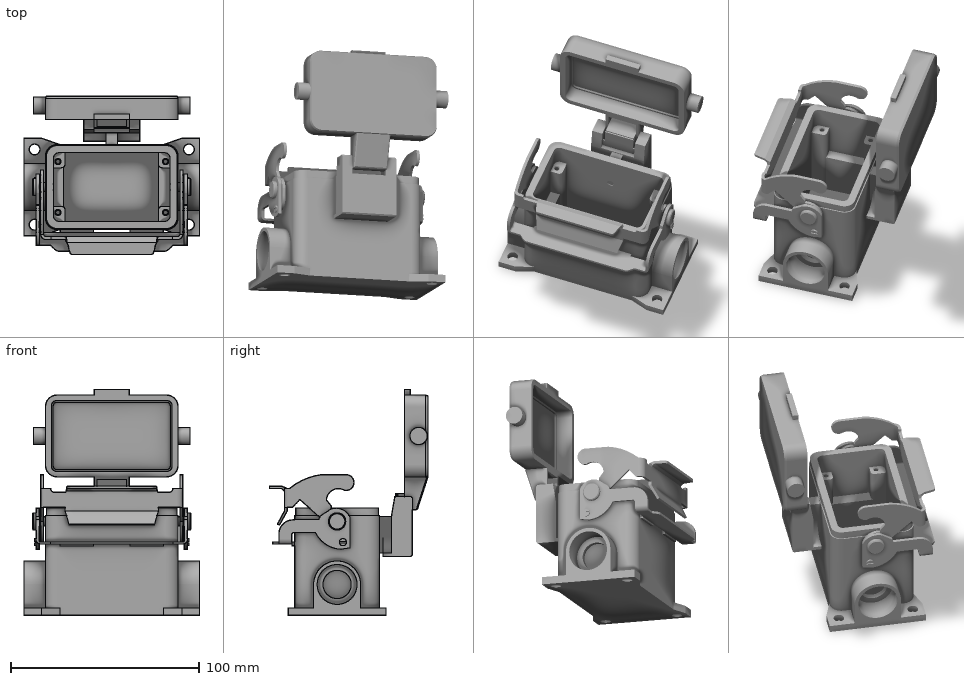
import cadquery as cq
import math


def box(x_range, y_range, z_range):
    """Axis-aligned block given by its limits along X, Y and Z."""
    size = [high - low for low, high in (x_range, y_range, z_range)]
    corner = (x_range[0], y_range[0], z_range[0])
    return cq.Workplane("XY").box(*size, centered=False).translate(corner)


def x_cylinder(diameter, y, z, x_start, x_end):
    """Cylinder along X between two X positions."""
    plane = cq.Workplane("YZ", origin=(x_start, y, z))
    return plane.circle(diameter / 2).extrude(x_end - x_start)


def y_cylinder(diameter, x, z, y_start, y_end):
    """Cylinder along Y between two Y positions."""
    plane = cq.Workplane("XZ", origin=(x, y_start, z))
    return plane.circle(diameter / 2).extrude(y_start - y_end)


def both_sides(shape):
    """The shape together with its mirror image across the X = 0 plane."""
    return shape.union(shape.mirror("YZ"))


BASE_LENGTH = 93.5
BASE_WIDTH = 52.0
BASE_THICKNESS = 4.0
WAIST_START_X = 37.3
WAIST_END_X = 27.6
HOLE_SPACING_X = 82.0
HOLE_SPACING_Y = 40.0
HOLE_DIAMETER = 5.6

BODY_LENGTH = 70.5
BODY_WIDTH = 45.2
BODY_CORNER = 6.2
BODY_HEIGHT = 53.0
RIM_INSET = 0.55
HOUSING_HEIGHT = 57.1
CAVITY_LENGTH = 62.0
CAVITY_WIDTH = 36.5
CAVITY_CORNER = 3.0
FLOOR_Z = 4.0

POST_LENGTH = 6.2
POST_WIDTH = 8.0
POST_TOP_Z = 45.3
POST_CORNER = 1.9
SCREW_X = 28.6
SCREW_Y = 13.5
SCREW_DIAMETER = 2.4
SCREW_MOUTH_DIAMETER = 3.3
SCREW_DEPTH = 12.0
NEAR_LEDGE_LENGTH = 5.3
FAR_LEDGE_LENGTH = POST_LENGTH
LEDGE_TOP_Z = 28.0

ENTRY_Z = 16.4
ENTRY_RADIUS = 12.5
ENTRY_BORE = 21.2
ENTRY_BORE_DEPTH = 13.0
KNOCKOUT_BORE = 15.0
KNOCKOUT_DEPTH = 3.0

LUG_INNER_X = 9.6
LUG_OUTER_X = 27.4
LUG_REACH = 1.5
LUG_BOTTOM_Z = 36.9
LUG_TOP_Z = 39.0

RIB_WIDTH = 6.2
RIB_BOTTOM_Z = 33.1
RIB_TOP_Z = 52.6
RIB_HOLE_DIAMETER = 3.6
RIB_HOLE_Z = 39.7
RIB_HOLE_DEPTH = 0.3
BRACKET_HALF_LENGTH = 15.0
BRACKET_BACK_Y = 40.0
BRACKET_FRONT_Y = 28.8
BRACKET_TOP_FRONT_Y = 30.6
BRACKET_BOTTOM_Z = 31.2
BRACKET_TOP_Z = 63.1
BRACKET_CORNER = 0.8
ARM_HALF_LENGTH = 9.3
FOOT_FRONT_Y = 24.3
FOOT_FILLET = 8.0
SLOT_FLOOR_Z = 53.1

COVER_BACK_Y = 48.3
COVER_FRONT_Y = 35.8
COVER_LENGTH = BODY_LENGTH
COVER_BOTTOM_Z = 73.5
COVER_TOP_Z = 117.1
COVER_CORNER = 6.2
COVER_BACK_CHAMFER_DEPTH = 1.3
COVER_BACK_CHAMFER_INSET = 0.5
COVER_POCKET_LENGTH = 64.2
COVER_POCKET_HEIGHT = 37.8
COVER_STEP = 1.0
COVER_POCKET_DEPTH = 8.5
COVER_POCKET_CORNER = 3.0
OVERALL_HEIGHT = 120.0
COVER_TAB_DEPTH = 3.1
STUD_DIAMETER = 9.2
STUD_SPAN = 83.2
STUD_Y = 43.3

ARM_HEEL_Y = 42.6
ARM_BOTTOM_Z = 56.0
ARM_WALL = 1.4
ARM_CHAMFER = 0.6
LEAF_HALF_LENGTH = 9.0
SHELF_HALF_LENGTH = 7.9
LEAF_FRONT_Y = 31.0
LIP_THICKNESS = 0.6
LEAF_SHOULDER_Z = 57.5
LIP_GROOVE_WIDTH = 0.5
LIP_GROOVE_DEPTH = 1.5
SHELF_Z = 64.8

PIVOT_Z = 49.9
HOOK_OUTER_X = 37.8
HOOK_SHEET = 1.6
HOOK_BAND_Y = -28.0
HOOK_BEND = 3.1
HANDLE_OUTER_X = 40.2
HANDLE_SHEET = 1.7
HANDLE_BAR_SHEET = 1.2
HANDLE_BAR_Z = 37.8
HANDLE_BEND = 2.6
SHAFT_DIAMETER = 5.0
PIVOT_PIN_DIAMETER = 3.0
RIVET_HEAD_DIAMETER = 9.2
RIVET_HEAD_X = 42.1

half_length = BODY_LENGTH / 2
half_width = BODY_WIDTH / 2


def base_plate():
    end_x = BASE_LENGTH / 2
    end_y = BASE_WIDTH / 2
    quarter = [
        (0, 0),
        (end_x, 0),
        (end_x, end_y),
        (WAIST_START_X, end_y),
        (WAIST_END_X, half_width),
        (0, half_width),
    ]
    plate = cq.Workplane("XY").polyline(quarter).close().extrude(BASE_THICKNESS)
    plate = both_sides(plate)
    plate = plate.union(plate.mirror("XZ"))
    holes = (
        cq.Workplane("XY")
        .rect(HOLE_SPACING_X, HOLE_SPACING_Y, forConstruction=True)
        .vertices()
        .circle(HOLE_DIAMETER / 2)
        .extrude(BASE_THICKNESS)
    )
    return plate.cut(holes)


def rounded_block(length, width, corner, z_low, z_high):
    block = cq.Workplane("XY", origin=(0, 0, z_low)).rect(length, width).extrude(z_high - z_low)
    return block.edges("|Z").fillet(corner)


def housing_walls():
    lower = rounded_block(BODY_LENGTH, BODY_WIDTH, BODY_CORNER, 0, BODY_HEIGHT)
    rim = rounded_block(
        BODY_LENGTH - 2 * RIM_INSET,
        BODY_WIDTH - 2 * RIM_INSET,
        BODY_CORNER - RIM_INSET,
        BODY_HEIGHT,
        HOUSING_HEIGHT,
    )
    return lower.union(rim)


def entry_boss():
    """Round-topped cable-entry boss that runs through both ends of the housing."""
    return (
        cq.Workplane("YZ", origin=(-BASE_LENGTH / 2, 0, 0))
        .moveTo(-ENTRY_RADIUS, 0)
        .lineTo(-ENTRY_RADIUS, ENTRY_Z)
        .threePointArc((0, ENTRY_Z + ENTRY_RADIUS), (ENTRY_RADIUS, ENTRY_Z))
        .lineTo(ENTRY_RADIUS, 0)
        .close()
        .extrude(BASE_LENGTH)
    )


def entry_bores():
    mouth_x = -BASE_LENGTH / 2
    seat_x = mouth_x + ENTRY_BORE_DEPTH
    bore = x_cylinder(ENTRY_BORE, 0, ENTRY_Z, mouth_x, seat_x)
    knockout = x_cylinder(KNOCKOUT_BORE, 0, ENTRY_Z, seat_x, seat_x + KNOCKOUT_DEPTH)
    return both_sides(bore.union(knockout))


def cavity():
    """Inside space of the housing, left solid at the end ledges and corner posts."""
    end_x = CAVITY_LENGTH / 2
    side_y = CAVITY_WIDTH / 2
    space = rounded_block(CAVITY_LENGTH, CAVITY_WIDTH, CAVITY_CORNER, FLOOR_Z, HOUSING_HEIGHT)
    ledge_z = (FLOOR_Z, LEDGE_TOP_Z)
    near_ledge = box((-end_x, NEAR_LEDGE_LENGTH - end_x), (-side_y, side_y), ledge_z)
    far_ledge = box((end_x - FAR_LEDGE_LENGTH, end_x), (-side_y, side_y), ledge_z)
    space = space.cut(near_ledge).cut(far_ledge)
    post = box((end_x - POST_LENGTH, end_x), (side_y - POST_WIDTH, side_y), (FLOOR_Z, POST_TOP_Z))
    post = post.edges("|Z and <X and <Y").fillet(POST_CORNER)
    posts = both_sides(post)
    return space.cut(posts.union(posts.mirror("XZ")))


def screw_holes():
    mouth_depth = (SCREW_MOUTH_DIAMETER - SCREW_DIAMETER) / 2
    mouth_z = POST_TOP_Z - mouth_depth
    outline = [
        (0, POST_TOP_Z),
        (SCREW_MOUTH_DIAMETER / 2, POST_TOP_Z),
        (SCREW_DIAMETER / 2, mouth_z),
        (SCREW_DIAMETER / 2, POST_TOP_Z - SCREW_DEPTH),
        (0, POST_TOP_Z - SCREW_DEPTH),
    ]
    hole = cq.Workplane("XZ").polyline(outline).close().revolve(360, (0, 0), (0, 1))
    holes = both_sides(hole.translate((SCREW_X, SCREW_Y, 0)))
    return holes.union(holes.mirror("XZ"))


def detent_lugs():
    lug = box(
        (LUG_INNER_X, LUG_OUTER_X),
        (-half_width - LUG_REACH, -half_width),
        (LUG_BOTTOM_Z, LUG_TOP_Z),
    )
    return both_sides(lug)


def hinge_bracket():
    """Block with two cheeks for the cover arm, carried on a rib behind the housing."""
    profile = [
        (BRACKET_BACK_Y, BRACKET_BOTTOM_Z),
        (BRACKET_BACK_Y, BRACKET_TOP_Z),
        (BRACKET_TOP_FRONT_Y, BRACKET_TOP_Z),
        (BRACKET_FRONT_Y, RIB_TOP_Z),
        (BRACKET_FRONT_Y, BRACKET_BOTTOM_Z),
    ]
    block = cq.Workplane("YZ").polyline(profile).close().extrude(BRACKET_HALF_LENGTH, both=True)
    block = block.edges("|X and >Y").chamfer(BRACKET_CORNER)
    slot = box(
        (-ARM_HALF_LENGTH, ARM_HALF_LENGTH),
        (BRACKET_FRONT_Y, BRACKET_BACK_Y),
        (SLOT_FLOOR_Z, BRACKET_TOP_Z),
    )
    fillet_x = RIB_WIDTH / 2 + FOOT_FILLET
    fillet_z = RIB_BOTTOM_Z + FOOT_FILLET
    diagonal = FOOT_FILLET * math.cos(math.pi / 4)
    foot = (
        cq.Workplane("XZ", origin=(0, FOOT_FRONT_Y, 0))
        .moveTo(0, BRACKET_BOTTOM_Z)
        .lineTo(BRACKET_HALF_LENGTH, BRACKET_BOTTOM_Z)
        .lineTo(BRACKET_HALF_LENGTH, RIB_BOTTOM_Z)
        .lineTo(fillet_x, RIB_BOTTOM_Z)
        .threePointArc((fillet_x - diagonal, fillet_z - diagonal), (RIB_WIDTH / 2, fillet_z))
        .lineTo(0, fillet_z)
        .close()
        .extrude(FOOT_FRONT_Y - BRACKET_FRONT_Y)
    )
    rib = box(
        (-RIB_WIDTH / 2, RIB_WIDTH / 2),
        (CAVITY_WIDTH / 2, BRACKET_FRONT_Y),
        (RIB_BOTTOM_Z, RIB_TOP_Z),
    )
    return block.cut(slot).union(both_sides(foot)).union(rib)


def make_housing():
    body = base_plate().union(housing_walls()).union(entry_boss())
    body = body.union(hinge_bracket()).union(detent_lugs())
    body = body.cut(cavity()).cut(entry_bores()).cut(screw_holes())
    rib_hole_start = CAVITY_WIDTH / 2
    rib_hole = y_cylinder(RIB_HOLE_DIAMETER, 0, RIB_HOLE_Z, rib_hole_start, rib_hole_start + RIB_HOLE_DEPTH)
    pivot_hole = x_cylinder(PIVOT_PIN_DIAMETER, 0, PIVOT_Z, CAVITY_LENGTH / 2, half_length)
    return body.cut(rib_hole).cut(both_sides(pivot_hole))


def cover_block(length, height, corner, y_low, y_high):
    middle_z = (COVER_BOTTOM_Z + COVER_TOP_Z) / 2
    plane = cq.Workplane("XZ", origin=(0, y_high, middle_z))
    return plane.rect(length, height).extrude(y_high - y_low).edges("|Y").fillet(corner)


def cover_arm():
    """Hinge arm: a channel open to the front that ends as a leaf between the bracket cheeks."""
    slope = (COVER_BACK_Y - ARM_HEEL_Y) / (COVER_BOTTOM_Z - ARM_BOTTOM_Z)

    def back_y(z):
        return ARM_HEEL_Y + slope * (z - ARM_BOTTOM_Z)

    side = [
        (COVER_FRONT_Y, COVER_BOTTOM_Z),
        (COVER_BACK_Y, COVER_BOTTOM_Z),
        (ARM_HEEL_Y, ARM_BOTTOM_Z),
        (COVER_FRONT_Y, ARM_BOTTOM_Z),
    ]
    arm = cq.Workplane("YZ").polyline(side).close().extrude(ARM_HALF_LENGTH, both=True)
    arm = arm.faces(">Y").edges("not >Z").chamfer(ARM_CHAMFER)
    channel_top = COVER_BOTTOM_Z - ARM_WALL
    channel = [
        (COVER_FRONT_Y, channel_top),
        (back_y(channel_top) - ARM_WALL, channel_top),
        (back_y(SHELF_Z) - ARM_WALL, SHELF_Z),
        (COVER_FRONT_Y, SHELF_Z),
    ]
    arm = arm.cut(cq.Workplane("YZ").polyline(channel).close().extrude(ARM_HALF_LENGTH - ARM_WALL, both=True))
    lip_back_y = LEAF_FRONT_Y + LIP_THICKNESS
    leaf = box((-LEAF_HALF_LENGTH, LEAF_HALF_LENGTH), (LEAF_FRONT_Y, lip_back_y), (SLOT_FLOOR_Z, SHELF_Z))
    shelf = box((-SHELF_HALF_LENGTH, SHELF_HALF_LENGTH), (lip_back_y, COVER_FRONT_Y), (SLOT_FLOOR_Z, SHELF_Z))
    groove = box(
        (-SHELF_HALF_LENGTH, SHELF_HALF_LENGTH),
        (lip_back_y, lip_back_y + LIP_GROOVE_WIDTH),
        (SHELF_Z - LIP_GROOVE_DEPTH, SHELF_Z),
    )
    shoulder = box(
        (SHELF_HALF_LENGTH, LEAF_HALF_LENGTH), (LEAF_FRONT_Y, lip_back_y), (LEAF_SHOULDER_Z, SHELF_Z)
    )
    leaf = leaf.cut(both_sides(shoulder))
    return arm.union(shelf.cut(groove)).union(leaf)


def make_cover():
    height = COVER_TOP_Z - COVER_BOTTOM_Z
    cover = cover_block(COVER_LENGTH, height, COVER_CORNER, COVER_FRONT_Y, COVER_BACK_Y)
    cover = cover.faces(">Y").chamfer(COVER_BACK_CHAMFER_DEPTH, COVER_BACK_CHAMFER_INSET)
    tab = box(
        (-ARM_HALF_LENGTH, ARM_HALF_LENGTH),
        (COVER_FRONT_Y, COVER_FRONT_Y + COVER_TAB_DEPTH),
        (COVER_TOP_Z, OVERALL_HEIGHT),
    )
    stud_z = (COVER_BOTTOM_Z + COVER_TOP_Z) / 2
    studs = x_cylinder(STUD_DIAMETER, STUD_Y, stud_z, -STUD_SPAN / 2, STUD_SPAN / 2)
    cover = cover.union(tab).union(studs).union(cover_arm())

    pocket_end = COVER_FRONT_Y + COVER_POCKET_DEPTH
    pocket = cover_block(
        COVER_POCKET_LENGTH, COVER_POCKET_HEIGHT, COVER_POCKET_CORNER, COVER_FRONT_Y, pocket_end
    )
    recess = cover_block(
        COVER_POCKET_LENGTH - 2 * COVER_STEP,
        COVER_POCKET_HEIGHT - 2 * COVER_STEP,
        COVER_POCKET_CORNER - COVER_STEP,
        pocket_end,
        pocket_end + COVER_STEP,
    )
    return cover.cut(pocket).cut(recess)


HOOK_TIP_Y = 4.8
HOOK_TIP_Z = 70.6
HOOK_TIP_RADIUS = 4.2
BAND_BOTTOM_Z = 57.3
BAND_TOP_Z = 67.4
EYE_RADIUS = 6.4
EYE_BOTTOM_Z = 39.0
HOOK_SIDE_REACH = 15.0
NOTCH_BOTTOM_Z = 65.5
NOTCH_INNER_X = 24.4
NOTCH_OUTER_X = 32.3
NOTCH_CORNER = 1.5
TAB_ROOT_X = 24.0
TAB_END_X = 22.0
TAB_ROOT_Z = 66.0
TAB_BEND_Y = -29.5
TAB_END_Y = -35.93
TAB_TOP_Z = 68.7
TAB_SHEET = 1.4
TAB_CORNER = 1.6
FLAP_ROOT_X = 24.8
FLAP_END_X = 22.6
FLAP_BEND_Z = 55.5
FLAP_END_Y = -31.8
FLAP_END_Z = 47.9
FLAP_TIP_RISE = 0.5
FLAP_TIP_RUN = 1.2


def hook_side():
    """Side shape of the hook lever in Y and Z: hook, eye around the pivot, and front band."""
    tip_top_z = HOOK_TIP_Z + HOOK_TIP_RADIUS
    return (
        cq.Workplane("YZ")
        .moveTo(HOOK_TIP_Y, tip_top_z)
        .lineTo(-8.3, tip_top_z)
        .threePointArc((-16.9, 72.5), (-25.3, BAND_TOP_Z))
        .lineTo(HOOK_BAND_Y, BAND_TOP_Z)
        .lineTo(HOOK_BAND_Y, BAND_BOTTOM_Z)
        .lineTo(-23.7, BAND_BOTTOM_Z)
        .lineTo(-19.8, 61.5)
        .lineTo(-9.3, 52.1)
        .lineTo(-EYE_RADIUS, PIVOT_Z)
        .lineTo(-EYE_RADIUS, EYE_BOTTOM_Z + EYE_RADIUS)
        .threePointArc((0, EYE_BOTTOM_Z), (EYE_RADIUS, EYE_BOTTOM_Z + EYE_RADIUS))
        .lineTo(EYE_RADIUS, PIVOT_Z)
        .threePointArc((2.5, 55.6), (-3.0, 56.6))
        .lineTo(-3.0, 58.0)
        .lineTo(-5.6, 61.3)
        .threePointArc((-2.7, 66.3), (HOOK_TIP_Y - 1.0, HOOK_TIP_Z - HOOK_TIP_RADIUS))
        .threePointArc((HOOK_TIP_Y + HOOK_TIP_RADIUS, HOOK_TIP_Z), (HOOK_TIP_Y, tip_top_z))
        .close()
        .extrude(HOOK_OUTER_X, both=True)
    )


def bent_strip(plane, outer_x, outer_web, far_end, side_sheet, web_sheet, bend, length):
    """U-shaped strip: a web at outer_web joined by round bends to two sides reaching far_end."""

    def u_outline(half, web, radius):
        diagonal = radius * (1 - math.cos(math.pi / 4))
        return (
            plane.moveTo(-half, far_end)
            .lineTo(-half, web + radius)
            .threePointArc((-half + diagonal, web + diagonal), (-half + radius, web))
            .lineTo(half - radius, web)
            .threePointArc((half - diagonal, web + diagonal), (half, web + radius))
            .lineTo(half, far_end)
            .close()
            .extrude(length)
        )

    outer = u_outline(outer_x, outer_web, bend)
    inner = u_outline(outer_x - side_sheet, outer_web + web_sheet, bend - side_sheet)
    return outer.cut(inner)


def make_hook_lever():
    strip = bent_strip(
        cq.Workplane("XY"),
        outer_x=HOOK_OUTER_X,
        outer_web=HOOK_BAND_Y,
        far_end=HOOK_SIDE_REACH,
        side_sheet=HOOK_SHEET,
        web_sheet=HOOK_SHEET,
        bend=HOOK_BEND,
        length=OVERALL_HEIGHT,
    )
    lever = strip.intersect(hook_side())
    band_y = (HOOK_BAND_Y, HOOK_BAND_Y + HOOK_SHEET)
    step = (
        cq.Workplane("XZ", origin=(0, HOOK_BAND_Y, 0))
        .moveTo(TAB_ROOT_X, BAND_TOP_Z)
        .lineTo(NOTCH_INNER_X, NOTCH_BOTTOM_Z)
        .lineTo(NOTCH_OUTER_X - NOTCH_CORNER, NOTCH_BOTTOM_Z)
        .radiusArc((NOTCH_OUTER_X, NOTCH_BOTTOM_Z + NOTCH_CORNER), -NOTCH_CORNER)
        .lineTo(NOTCH_OUTER_X, BAND_TOP_Z)
        .close()
        .extrude(-HOOK_SHEET)
    )
    lever = lever.cut(both_sides(step))

    tab_profile = [
        (band_y[1], TAB_ROOT_Z),
        (band_y[1], BAND_TOP_Z),
        (TAB_BEND_Y, TAB_TOP_Z),
        (TAB_END_Y, TAB_TOP_Z),
        (TAB_END_Y, TAB_TOP_Z - TAB_SHEET),
        (TAB_BEND_Y, TAB_TOP_Z - TAB_SHEET),
        (HOOK_BAND_Y, TAB_ROOT_Z),
    ]
    tab_plan = [
        (-TAB_ROOT_X, band_y[1]),
        (-TAB_ROOT_X, HOOK_BAND_Y),
        (-TAB_END_X, TAB_END_Y),
        (TAB_END_X, TAB_END_Y),
        (TAB_ROOT_X, HOOK_BAND_Y),
        (TAB_ROOT_X, band_y[1]),
    ]
    tab_strip = cq.Workplane("YZ").polyline(tab_profile).close().extrude(TAB_ROOT_X, both=True)
    tab_blank = cq.Workplane("XY").polyline(tab_plan).close().extrude(OVERALL_HEIGHT)
    tab = tab_strip.intersect(tab_blank.edges("|Z and <Y").fillet(TAB_CORNER))

    flap_profile = [
        (band_y[1], BAND_BOTTOM_Z),
        (HOOK_BAND_Y, BAND_BOTTOM_Z),
        (HOOK_BAND_Y, FLAP_BEND_Z),
        (FLAP_END_Y, FLAP_END_Z + FLAP_TIP_RISE),
        (FLAP_END_Y + FLAP_TIP_RUN, FLAP_END_Z),
        (band_y[1], FLAP_BEND_Z),
    ]
    flap_face = [
        (-FLAP_ROOT_X, BAND_BOTTOM_Z),
        (-FLAP_ROOT_X, FLAP_BEND_Z),
        (-FLAP_END_X, FLAP_END_Z),
        (FLAP_END_X, FLAP_END_Z),
        (FLAP_ROOT_X, FLAP_BEND_Z),
        (FLAP_ROOT_X, BAND_BOTTOM_Z),
    ]
    flap_strip = cq.Workplane("YZ").polyline(flap_profile).close().extrude(FLAP_ROOT_X, both=True)
    flap_blank = cq.Workplane("XZ").polyline(flap_face).close().extrude(-FLAP_END_Y)
    flap = flap_strip.intersect(flap_blank)
    lever = lever.union(tab).union(flap)
    return lever.cut(x_cylinder(SHAFT_DIAMETER, 0, PIVOT_Z, -HOOK_OUTER_X, HOOK_OUTER_X))


EYE_PLATE_BACK_Y = 6.9
LEG_FRONT_Y = -31.0
LEG_BACK_Y = -24.1
LEG_SPLIT_Y = -20.0
ARM_UNDERSIDE_Z = 44.0
ARM_UPPER_Z = 50.8
LIP_FRONT_Y = -34.2
LIP_ROOT_Y = -29.0
LIP_OUTER_X = 32.6
LIP_INNER_X = 27.5
STOP_DIAMETER = 3.8
STOP_Y = 3.1
STOP_Z = 38.9
STOP_END_X = 41.1
STOP_SLOT_WIDTH = 0.8
STOP_SLOT_DEPTH = 0.5
RIVET_CHAMFER = 0.5


def handle_side():
    """Side shape of the handle lever in Y and Z: eye plate, arm and down-turned front leg."""
    return (
        cq.Workplane("YZ")
        .moveTo(EYE_PLATE_BACK_Y, 35.9)
        .lineTo(EYE_PLATE_BACK_Y, 52.0)
        .threePointArc((2.6, 56.3), (-3.4, 56.4))
        .lineTo(-9.2, 52.6)
        .lineTo(-9.7, ARM_UPPER_Z)
        .lineTo(-23.5, ARM_UPPER_Z)
        .threePointArc((-28.6, 48.7), (LEG_FRONT_Y, 43.5))
        .lineTo(LEG_FRONT_Y, HANDLE_BAR_Z)
        .lineTo(LEG_BACK_Y, HANDLE_BAR_Z)
        .lineTo(LEG_BACK_Y, 43.1)
        .lineTo(-23.3, ARM_UNDERSIDE_Z)
        .lineTo(-11.5, ARM_UNDERSIDE_Z)
        .threePointArc((-6.0, 37.7), (2.0, 35.1))
        .close()
        .extrude(HANDLE_OUTER_X, both=True)
    )


def make_handle_lever():
    side = handle_side()
    strip = bent_strip(
        cq.Workplane("XZ", origin=(0, LEG_SPLIT_Y, 0)),
        outer_x=HANDLE_OUTER_X,
        outer_web=HANDLE_BAR_Z,
        far_end=HOUSING_HEIGHT,
        side_sheet=HANDLE_SHEET,
        web_sheet=HANDLE_BAR_SHEET,
        bend=HANDLE_BEND,
        length=LEG_SPLIT_Y - LIP_FRONT_Y,
    )
    legs = strip.intersect(side)
    inner_x = HANDLE_OUTER_X - HANDLE_SHEET
    plate_region = box((inner_x, HANDLE_OUTER_X), (LEG_SPLIT_Y, EYE_PLATE_BACK_Y), (0, HOUSING_HEIGHT))
    lever = legs.union(both_sides(plate_region.intersect(side)))

    lip = (
        cq.Workplane("XY", origin=(0, 0, HANDLE_BAR_Z))
        .moveTo(0, LIP_ROOT_Y)
        .lineTo(LIP_OUTER_X, LIP_ROOT_Y)
        .lineTo(LIP_OUTER_X, LEG_FRONT_Y)
        .spline([(LIP_INNER_X, LIP_FRONT_Y)], tangents=[(-1, -0.6), (-1, 0)], includeCurrent=True)
        .lineTo(0, LIP_FRONT_Y)
        .close()
        .extrude(HANDLE_BAR_SHEET)
    )
    lever = lever.union(both_sides(lip))

    head = x_cylinder(RIVET_HEAD_DIAMETER, 0, PIVOT_Z, inner_x, RIVET_HEAD_X)
    head = head.faces(">X").chamfer(RIVET_CHAMFER)
    shaft = x_cylinder(SHAFT_DIAMETER, 0, PIVOT_Z, half_length, inner_x)
    pin = x_cylinder(PIVOT_PIN_DIAMETER, 0, PIVOT_Z, CAVITY_LENGTH / 2, half_length)
    stop = x_cylinder(STOP_DIAMETER, STOP_Y, STOP_Z, inner_x, STOP_END_X)
    stop_slot = box(
        (STOP_END_X - STOP_SLOT_DEPTH, STOP_END_X),
        (STOP_Y - STOP_DIAMETER / 2, STOP_Y + STOP_DIAMETER / 2),
        (STOP_Z - STOP_SLOT_WIDTH / 2, STOP_Z + STOP_SLOT_WIDTH / 2),
    )
    stop = stop.cut(stop_slot)
    return lever.union(both_sides(head.union(shaft).union(pin).union(stop)))


housing = make_housing()
cover = make_cover()
hook_lever = make_hook_lever()
handle_lever = make_handle_lever()

result = cq.Compound.makeCompound([
    housing.val(),
    cover.val(),
    hook_lever.val(),
    handle_lever.val(),
])